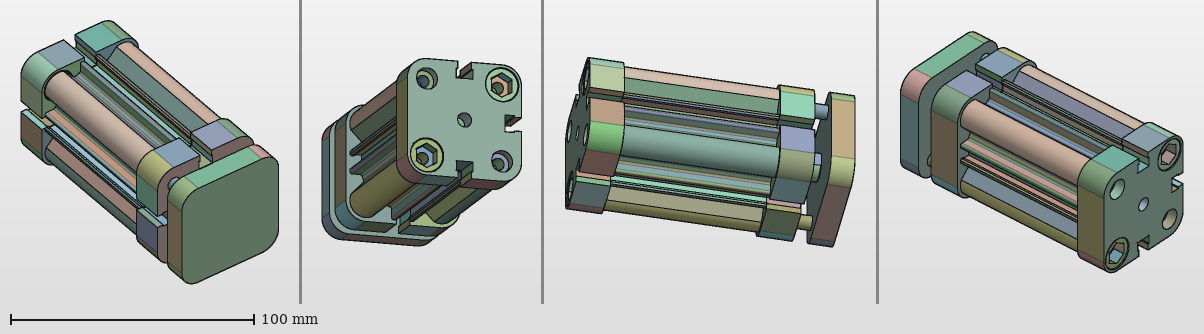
import cadquery as cq
import math


overall_length = 111.5
cap_length = 14.5
rod_gap = 6.9
plate_thickness = 10.0
plate_start = overall_length - plate_thickness
front_face = plate_start - rod_gap
front_cap_start = front_face - cap_length

body_width = 49.5
half_width = body_width / 2
corner_offset = 16.3
corner_radius = half_width - corner_offset

tube_inset = 1.7
tube_half = half_width - tube_inset
lobe_radius = tube_half - corner_offset
web_half_width = 6.4
barrel_radius = 18.6
root_fillet = 1.0
rail_half_width = 5.0
rail_fillet = 1.0

lip_half_width = 2.6
lip_chamfer = 0.7
lip_height = 0.9
tube_slot_half_width = 3.2
tube_slot_floor = 18.0

slot_clearance = 0.3
mouth_half_width = lip_half_width + slot_clearance
cap_slot_half_width = tube_slot_half_width + slot_clearance
cap_slot_floor = tube_slot_floor - slot_clearance
mouth_depth = 3.0

thread_bore_diameter = 5.0
mount_bore_diameter = 9.0
mount_bore_depth = 5.0
centre_hole_diameter = 6.0
centre_hole_depth = 8.9

collar_seat_diameter = 14.5
collar_diameter = 13.9
collar_setback = 0.5
socket_across_flats = mount_bore_diameter
socket_depth = 5.5

piston_rod_diameter = 12.0
rod_flat_half_width = 5.0
rod_flat_start = 1.8
rod_flat_run_out = 0.3
rod_end_chamfer = 0.3
guide_rod_diameter = 6.1

PLUS_Z, MINUS_Y, MINUS_Z, PLUS_Y = 0, 90, 180, 270
corner_angle = 45
tube_sides = [PLUS_Z, MINUS_Y, MINUS_Z, PLUS_Y]
cap_slot_sides = [PLUS_Z, MINUS_Y, MINUS_Z]

axis = [(0, 0)]
guided_corners = [(-corner_offset, corner_offset), (corner_offset, -corner_offset)]
mounting_corners = [(corner_offset, corner_offset), (-corner_offset, -corner_offset)]


def section(x):
    """Sketch plane across the cylinder axis, with local x = Y and local y = Z."""
    return cq.Workplane("YZ", origin=(x, 0, 0))


def cylinders(places, diameter, start, length):
    """One cylinder along X at each (Y, Z) place."""
    return section(start).pushPoints(places).circle(diameter / 2).extrude(length)


def turned(shape, angle):
    """Copy of a shape turned about the cylinder axis."""
    return shape.rotate((0, 0, 0), (1, 0, 0), angle)


def rounded_block(start, length):
    """Square block with rounded long edges."""
    block = section(start).rect(body_width, body_width).extrude(length)
    return block.edges("|X").fillet(corner_radius)


def symmetric_prism(right_side, start, length):
    """Prism whose outline is the given (Y, Z) points and their mirror image in Y."""
    left_side = [(-y, z) for y, z in reversed(right_side)]
    return section(start).polyline(right_side + left_side).close().extrude(length)



tube_start = cap_length
tube_length = front_cap_start - tube_start


def corner_web():
    """Web from the axis toward +Z, ending in a lobe whose sides are trimmed to the web width."""
    lobe_distance = corner_offset * math.sqrt(2)
    arc_start = lobe_distance + math.sqrt(lobe_radius**2 - web_half_width**2)
    return (
        section(tube_start)
        .moveTo(web_half_width, 0)
        .lineTo(web_half_width, arc_start)
        .threePointArc((0, lobe_distance + lobe_radius), (-web_half_width, arc_start))
        .lineTo(-web_half_width, 0)
        .close()
        .extrude(tube_length)
    )


def barrel_roots(tube):
    """The edges where the webs and rails meet the barrel surface."""
    tolerance = 0.01
    roots = []
    for edge in tube.edges("|X").vals():
        centre = edge.Center()
        if abs(math.hypot(centre.y, centre.z) - barrel_radius) < tolerance:
            roots.append(edge)
    return tube.newObject(roots)


def slot_rail():
    """Rail on the +Z side with rounded outer edges."""
    block = section(tube_start).center(0, tube_half / 2)
    block = block.rect(2 * rail_half_width, tube_half).extrude(tube_length)
    return block.faces(">Z").edges("|X").fillet(rail_fillet)


def tube_slot():
    """Undercut slot with chamfered lips on the +Z side."""
    lip_top = tube_half - lip_chamfer
    lip_bottom = lip_top - lip_height
    return symmetric_prism([
        (tube_slot_half_width, tube_slot_floor),
        (tube_slot_half_width, lip_bottom),
        (lip_half_width, lip_bottom),
        (lip_half_width, lip_top),
        (lip_half_width + lip_chamfer, tube_half),
    ], tube_start, tube_length)


def make_tube():
    """Barrel with corner webs and slotted rails, all rounded where they meet the barrel."""
    tube = cylinders(axis, 2 * barrel_radius, tube_start, tube_length)
    for side in tube_sides:
        tube = tube.union(turned(corner_web(), side + corner_angle))
        tube = tube.union(turned(slot_rail(), side))
    tube = barrel_roots(tube).fillet(root_fillet)
    for side in tube_sides:
        tube = tube.cut(turned(tube_slot(), side))
    return tube


def cap_slot(start):
    """Undercut slot along a whole cap on the +Z side."""
    mouth_bottom = half_width - mouth_depth
    return symmetric_prism([
        (cap_slot_half_width, cap_slot_floor),
        (cap_slot_half_width, mouth_bottom),
        (mouth_half_width, mouth_bottom),
        (mouth_half_width, half_width),
    ], start, cap_length)


def make_cap(start):
    cap = rounded_block(start, cap_length)
    for side in cap_slot_sides:
        cap = cap.cut(turned(cap_slot(start), side))
    return cap


def make_rear_cap():
    """Cap with a centre hole, two threaded mounting bores and two collar seats."""
    cap = make_cap(0)
    cap = cap.cut(cylinders(axis, centre_hole_diameter, 0, centre_hole_depth))
    cap = cap.cut(cylinders(mounting_corners, mount_bore_diameter, 0, mount_bore_depth))
    cap = cap.cut(cylinders(mounting_corners, thread_bore_diameter, 0, cap_length))
    return cap.cut(cylinders(guided_corners, collar_seat_diameter, 0, cap_length))


def make_front_cap():
    """Cap with through bores for the piston rod and the guide rods."""
    cap = make_cap(front_cap_start)
    cap = cap.cut(cylinders(axis, piston_rod_diameter, front_cap_start, cap_length))
    return cap.cut(cylinders(guided_corners, guide_rod_diameter, front_cap_start, cap_length))


housing = make_rear_cap().union(make_tube()).union(make_front_cap())



def make_collar(place):
    collar_length = cap_length - collar_setback
    collar = cylinders([place], collar_diameter, collar_setback, collar_length)
    bore = cylinders([place], thread_bore_diameter, collar_setback, collar_length)
    across_corners = socket_across_flats / math.cos(math.pi / 6)
    socket = section(collar_setback).polygon(6, across_corners).extrude(socket_depth)
    socket = turned(socket, 90).translate((0, *place))
    return collar.cut(socket).cut(bore)


collars = [make_collar(place) for place in guided_corners]



def make_piston_rod():
    rod = cylinders(axis, piston_rod_diameter, front_cap_start, plate_start - front_cap_start)
    rod = rod.faces(">X").chamfer(rod_end_chamfer)
    radius = piston_rod_diameter / 2
    flat_x = front_face + rod_flat_start
    cutter = cq.Workplane("XY", origin=(0, 0, -radius)).polyline([
        (flat_x, rod_flat_half_width),
        (plate_start, rod_flat_half_width),
        (plate_start, radius),
        (flat_x - rod_flat_run_out, radius),
    ]).close().extrude(piston_rod_diameter)
    return rod.cut(cutter).cut(cutter.mirror("XZ"))


piston_rod = make_piston_rod()



def make_yoke():
    plate = rounded_block(plate_start, plate_thickness)
    rod_length = plate_start - front_cap_start
    return plate.union(cylinders(guided_corners, guide_rod_diameter, front_cap_start, rod_length))


yoke = make_yoke()

result = cq.Compound.makeCompound([
    housing.val(),
    *[collar.val() for collar in collars],
    piston_rod.val(),
    yoke.val(),
])